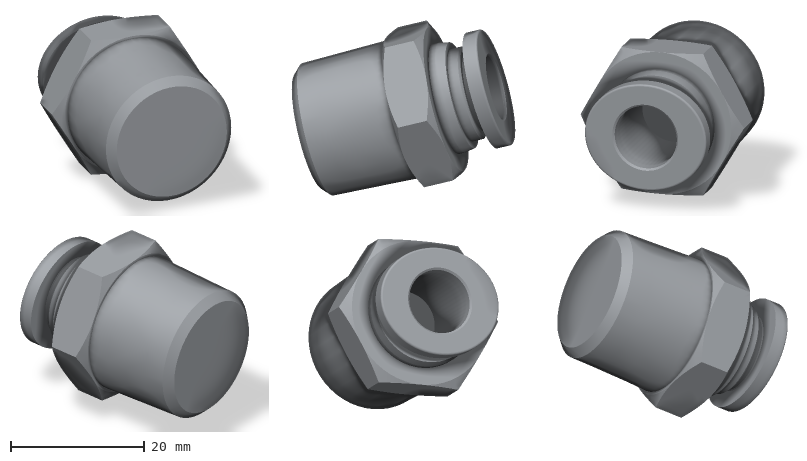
import cadquery as cq
import math


flange_end = 2.25
collar_start = 3.47
collar_end = 5.4
shoulder_cone_end = 6.95
hex_start = 7.95
hex_end = 14.46
total_length = 29.4

flange_width_y = 19.05
flange_height_z = 16.58
flange_edge_radius = 0.3
neck_diameter = 11.9
neck_root_chamfer = 0.15
collar_diameter = 14.3
collar_chamfer = 0.32
bore_diameter = 9.75
bore_mouth_chamfer = 0.3

shoulder_diameter = 17.0
shoulder_tip_diameter = 16.35
hex_across_flats = 22.23
hex_across_corners = hex_across_flats / math.cos(math.pi / 6)
hex_chamfer_angle = math.radians(30)
thread_root_diameter = 21.32
thread_taper = 1 / 16
thread_chamfer = 1.23
bore_floor = 14.7


def revolve_about_x(points):
    """Revolve a closed (x, radius) outline about the X axis."""
    return cq.Workplane("XY").polyline(points).close().revolve(360, (0, 0, 0), (1, 0, 0))


def cylinder_x(diameter, start, end):
    """Make a solid cylinder along X between two stations."""
    return cq.Workplane("YZ", origin=(start, 0, 0)).circle(diameter / 2).extrude(end - start)


def make_sleeve():
    """Oval flange, neck and chamfered collar with a through bore."""
    neck_radius = neck_diameter / 2
    collar_radius = collar_diameter / 2
    flange = (
        cq.Workplane("YZ")
        .ellipse(flange_width_y / 2, flange_height_z / 2)
        .extrude(flange_end)
        .faces("<X").edges().fillet(flange_edge_radius)
    )
    neck_and_collar = revolve_about_x([
        (flange_end, 0),
        (flange_end, neck_radius + neck_root_chamfer),
        (flange_end + neck_root_chamfer, neck_radius),
        (collar_start, neck_radius),
        (collar_start, collar_radius - collar_chamfer),
        (collar_start + collar_chamfer, collar_radius),
        (collar_end, collar_radius),
        (collar_end, 0),
    ])
    bore = cylinder_x(bore_diameter, 0, collar_end)
    bore_radius = bore_diameter / 2
    bore_mouth = revolve_about_x([
        (0, 0),
        (0, bore_radius + bore_mouth_chamfer),
        (bore_mouth_chamfer, bore_radius),
        (bore_mouth_chamfer, 0),
    ])
    return flange.union(neck_and_collar).cut(bore).cut(bore_mouth)


def make_hexagon():
    """Hexagon with corners on the Y axis, both ends chamfered down to the flats."""
    prism = (
        cq.Workplane("YZ", origin=(hex_start, 0, 0))
        .polygon(6, hex_across_corners)
        .extrude(hex_end - hex_start)
    )
    face_radius = hex_across_flats / 2
    corner_radius = hex_across_corners / 2
    chamfer_length = (corner_radius - face_radius) * math.tan(hex_chamfer_angle)
    chamfer_envelope = revolve_about_x([
        (hex_start, 0),
        (hex_start, face_radius),
        (hex_start + chamfer_length, corner_radius),
        (hex_end - chamfer_length, corner_radius),
        (hex_end, face_radius),
        (hex_end, 0),
    ])
    return prism.intersect(chamfer_envelope)


def make_housing():
    """Tapered shoulder, hexagon and tapered thread blank with a blind bore."""
    shoulder = revolve_about_x([
        (collar_end, 0),
        (collar_end, shoulder_tip_diameter / 2),
        (shoulder_cone_end, shoulder_diameter / 2),
        (hex_start, shoulder_diameter / 2),
        (hex_start, 0),
    ])
    thread_root_radius = thread_root_diameter / 2
    chamfer_start = total_length - thread_chamfer
    thread_tip_radius = thread_root_radius - (chamfer_start - hex_end) * thread_taper / 2
    thread = revolve_about_x([
        (hex_end, 0),
        (hex_end, thread_root_radius),
        (chamfer_start, thread_tip_radius),
        (total_length, thread_tip_radius - thread_chamfer),
        (total_length, 0),
    ])
    bore = cylinder_x(bore_diameter, collar_end, bore_floor)
    return shoulder.union(make_hexagon()).union(thread).cut(bore)


sleeve = make_sleeve()
housing = make_housing()
result = cq.Compound.makeCompound([sleeve.val(), housing.val()])